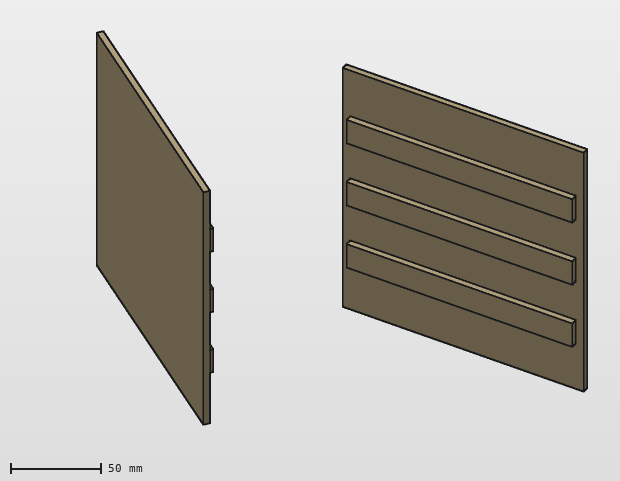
import cadquery as cq

panel_width = 156.0
panel_height = 163.0
total_depth = 8.0
panel_thickness = total_depth / 2

batten_length = 146.0
batten_height = 16.0
batten_depth = total_depth - panel_thickness
batten_pitch = 42.4
batten_levels = (-batten_pitch, 0, batten_pitch)


def make_panel():
    """Panel with its front face at Y = 0, centred in X and Z."""
    return cq.Workplane("XY").box(
        panel_width, panel_thickness, panel_height, centered=(True, False, True)
    )


def make_batten(level):
    """Batten against the panel's rear face, centred at height `level`."""
    return (
        cq.Workplane("XY")
        .box(batten_length, batten_depth, batten_height, centered=(True, False, True))
        .translate((0, panel_thickness, level))
    )


result = make_panel()
for batten_level in batten_levels:
    result = result.union(make_batten(batten_level))